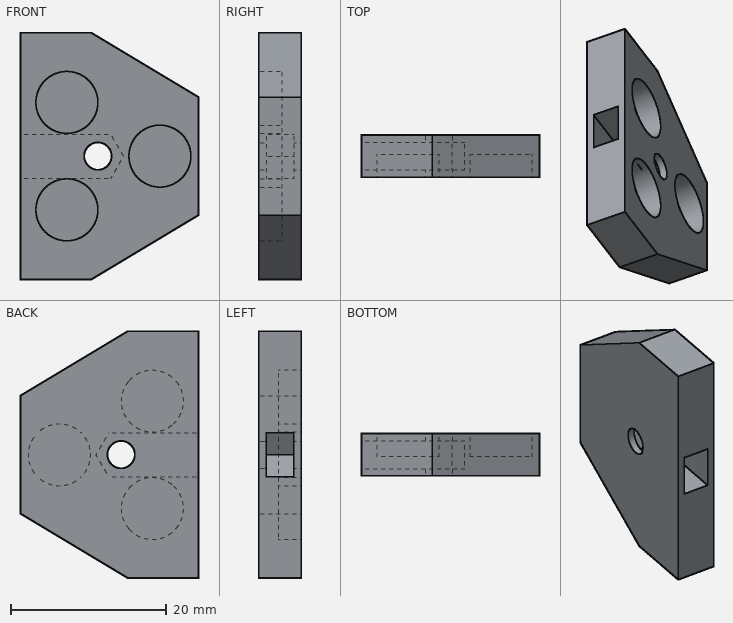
import cadquery as cq
import math

width = 23.0
thickness = 5.5
height = 31.85
taper_start = 9.15
nose_height = 15.23

hole_diameter = 3.5
hole_x = 10.0
pocket_count = 3
pocket_diameter = 8.0
pocket_circle_radius = 8.0
pocket_depth = 3.0

nut_flats = 5.67
slot_front = 1.0
slot_thickness = 3.57


def extrude_along_y(profile, start, depth):
    """Extrude an XZ profile towards +Y, starting at Y = start."""
    return profile.extrude(-depth).translate((0, start, 0))


def make_plate():
    outline = cq.Workplane("XZ").polyline([
        (0, -height / 2),
        (taper_start, -height / 2),
        (width, -nose_height / 2),
        (width, nose_height / 2),
        (taper_start, height / 2),
        (0, height / 2),
    ]).close()
    return extrude_along_y(outline, 0, thickness)


def make_screw_hole():
    circle = cq.Workplane("XZ").center(hole_x, 0).circle(hole_diameter / 2)
    return extrude_along_y(circle, 0, thickness)


def make_pockets():
    circles = (
        cq.Workplane("XZ").center(hole_x, 0)
        .polarArray(pocket_circle_radius, 0, 360, pocket_count)
        .circle(pocket_diameter / 2)
    )
    return extrude_along_y(circles, 0, pocket_depth)


def make_nut_slot():
    half_flats = nut_flats / 2
    corner_radius = half_flats / math.cos(math.radians(30))
    shoulder_x = hole_x + corner_radius / 2
    outline = cq.Workplane("XZ").polyline([
        (0, -half_flats),
        (shoulder_x, -half_flats),
        (hole_x + corner_radius, 0),
        (shoulder_x, half_flats),
        (0, half_flats),
    ]).close()
    return extrude_along_y(outline, slot_front, slot_thickness)


result = (
    make_plate()
    .cut(make_screw_hole())
    .cut(make_pockets())
    .cut(make_nut_slot())
)